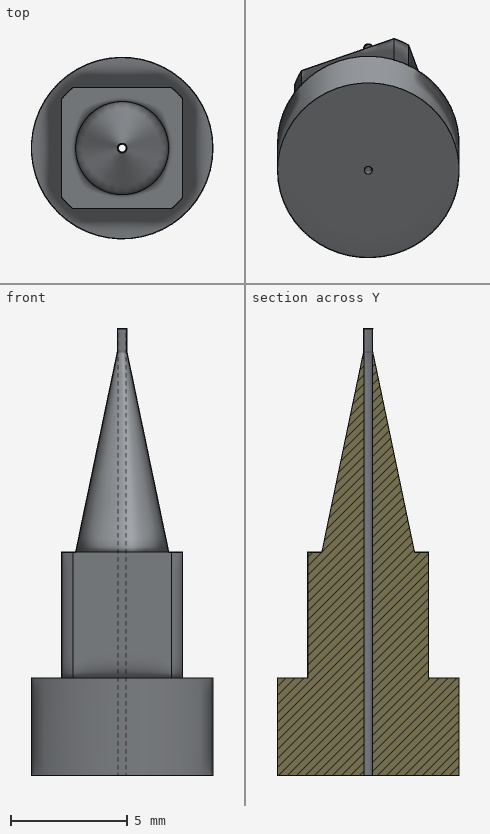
import cadquery as cq

collar_diameter = 7.8
collar_height = 4.2

body_width = 5.2
body_height = 5.4
body_corner_diameter = 6.7

cone_base_diameter = 4.0
cone_height = 8.6

tube_diameter = 0.41
tube_length = 1.0
bore_diameter = 0.34

body_base_z = collar_height
cone_base_z = body_base_z + body_height
tube_base_z = cone_base_z + cone_height
tip_z = tube_base_z + tube_length


def cylinder(diameter, base_z, height):
    """Upright cylinder on the part axis."""
    return cq.Workplane("XY").workplane(offset=base_z).circle(diameter / 2).extrude(height)


def make_body():
    """Square block whose corners are trimmed by a coaxial cylinder."""
    block = (
        cq.Workplane("XY")
        .workplane(offset=body_base_z)
        .rect(body_width, body_width)
        .extrude(body_height)
    )
    return block.intersect(cylinder(body_corner_diameter, body_base_z, body_height))


def make_nose():
    """Cone narrowing from the body to the tube diameter."""
    return cq.Workplane("XY").add(
        cq.Solid.makeCone(
            cone_base_diameter / 2,
            tube_diameter / 2,
            cone_height,
            pnt=cq.Vector(0, 0, cone_base_z),
        )
    )


collar = cylinder(collar_diameter, 0, collar_height)
tube = cylinder(tube_diameter, tube_base_z, tube_length)
bore = cylinder(bore_diameter, 0, tip_z)

result = collar.union(make_body()).union(make_nose()).union(tube).cut(bore)